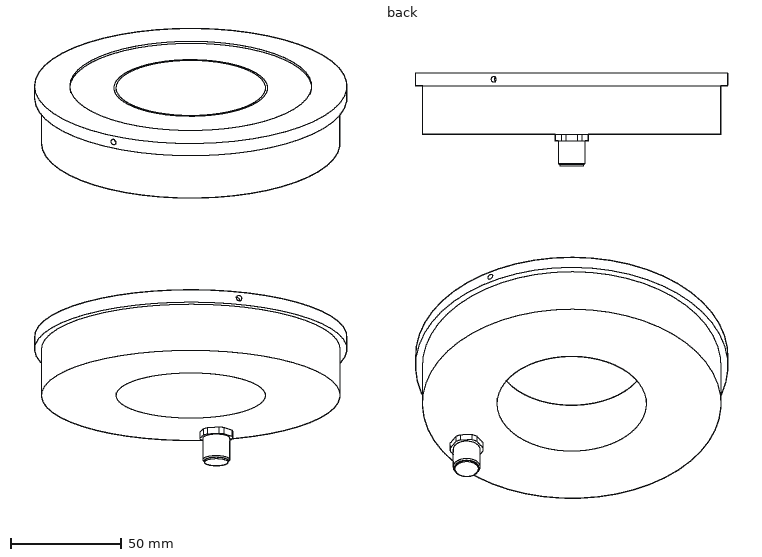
import cadquery as cq
import math

outer_radius = 71.0
total_height = 42.5

cover_height = 6.0
lip_thickness = 1.0
opening_radius = 55.0

set_hole_diameter = 2.5
set_hole_count = 3
set_hole_z = -cover_height / 2

housing_radius = 67.9
housing_top = -lip_thickness
housing_bottom = -28.0
bore_radius = 34.0
collar_wall = 1.0
collar_radius = bore_radius + collar_wall

rim_wall = outer_radius - housing_radius
window_radius = housing_radius - rim_wall
window_thickness = 3.0
window_bottom = housing_top - window_thickness

connector_y = 56.0
connector_length = total_height + housing_bottom
hex_across_flats = 14.0
hex_corner_radius = 7.5
hex_height = 3.0
plug_radius = 6.1
plug_chamfer = 0.5
tip_radius = 5.4
tip_height = 0.7


def ring(outer, inner, bottom, top):
    """Flat ring around the Z axis between two heights."""
    base = cq.Workplane("XY").workplane(offset=bottom)
    return base.circle(outer).circle(inner).extrude(top - bottom)


def set_hole(angle):
    """Radial cylinder that passes through the cover skirt at an angle in degrees."""
    direction = cq.Vector(math.cos(math.radians(angle)), math.sin(math.radians(angle)), 0)
    start = direction * window_radius + cq.Vector(0, 0, set_hole_z)
    length = outer_radius - window_radius + rim_wall
    return cq.Solid.makeCylinder(set_hole_diameter / 2, length, start, direction)


def make_cover():
    """Cover ring with its lip, skirt and evenly spaced set screw holes."""
    lip = ring(outer_radius, opening_radius, housing_top, 0)
    skirt = ring(outer_radius, housing_radius, -cover_height, housing_top)
    cover = lip.union(skirt)
    for index in range(set_hole_count):
        cover = cover.cut(set_hole(180 + index * 360 / set_hole_count))
    return cover


def make_window():
    """Flat ring that fills the recess of the housing."""
    return ring(window_radius, collar_radius, window_bottom, housing_top)


def make_housing():
    """Round body with a through bore and a recess for the window."""
    body = ring(housing_radius, bore_radius, housing_bottom, housing_top)
    recess = ring(window_radius, collar_radius, window_bottom, housing_top)
    return body.cut(recess)


def make_connector():
    """Hexagon flange, plug and stepped tip, hanging from the underside of the housing."""
    base = cq.Workplane("XY", origin=(0, connector_y, housing_bottom))

    corner_diameter = hex_across_flats / math.cos(math.radians(30))
    hexagon = base.polygon(6, corner_diameter).extrude(-hex_height)
    flange = hexagon.intersect(base.circle(hex_corner_radius).extrude(-hex_height))

    plug = base.circle(plug_radius).extrude(tip_height - connector_length)
    plug = plug.faces("<Z").chamfer(plug_chamfer)
    tip = base.circle(tip_radius).extrude(-connector_length)
    return flange.union(plug).union(tip)


cover = make_cover()
window = make_window()
housing = make_housing()
connector = make_connector()

bodies = [cover, window, housing, connector]
result = cq.Compound.makeCompound([body.solids().val() for body in bodies])